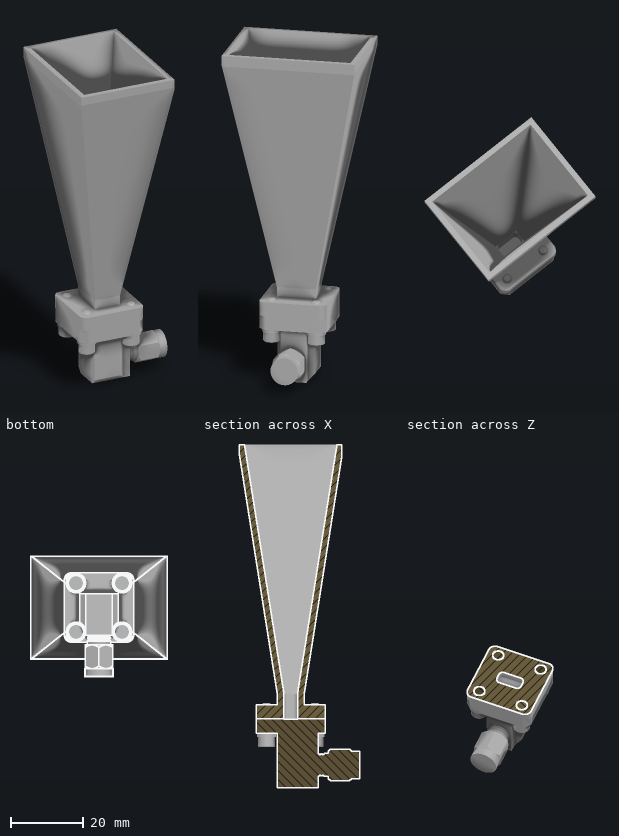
import cadquery as cq
import math


total_height = 95.15
flange_bottom = 15.1
flange_thickness = 4.0
joint_height = flange_bottom + flange_thickness
flange_top = joint_height + flange_thickness
flare_start = 26.1

guide_x = 7.1
guide_y = 3.6
guide_corner_radius = 1.1
horn_wall = 2.0
mouth_x = 37.9
mouth_y = 28.5
lip_wall = 1.5
aperture_x = mouth_x - 2 * lip_wall
aperture_y = mouth_y - 2 * lip_wall
neck_x = guide_x + 2 * horn_wall
neck_y = guide_y + 2 * horn_wall

flange_side = 19.2
horn_flange_radius = 2.0
adapter_flange_chamfer = 1.8

block_width = 10.6
block_front = -3.8
block_shoulder = 4.1
block_taper_end = 5.6
block_back = 7.7
block_back_width = 7.4
block_bottom_chamfer = 1.6

connector_height = 6.4
connector_end = 19.1
hex_start = 10.4
hex_end = 16.9
hex_across_flats = 7.7
hex_corner_chamfer = 0.7
sleeve_diameter = 7.8
collar_diameter = 6.6
collar_start = 9.3
thread_diameter = 6.4
thread_root_diameter = 5.8
thread_turns = 2

screw_offset_x = 6.4
screw_offset_y = 6.8
screw_diameter = 2.9
screw_tip = 23.6
screw_tip_chamfer = 0.6
head_diameter = 4.7
head_height = 2.9
head_edge_chamfer = 0.2
washer_diameter = 5.3
washer_thickness = 0.95
washer_bottom = flange_bottom - washer_thickness
head_bottom = washer_bottom - head_height

screw_positions = [
    (side_x * screw_offset_x, side_y * screw_offset_y)
    for side_x in (-1, 1)
    for side_y in (-1, 1)
]


def frustum(bottom_x, bottom_y, top_x, top_y):
    """Rectangular frustum from the start of the flare up to the mouth."""
    return (
        cq.Workplane("XY", origin=(0, 0, flare_start))
        .rect(bottom_x, bottom_y)
        .workplane(offset=total_height - flare_start)
        .rect(top_x, top_y)
        .loft(ruled=True)
    )


def box_between(size_x, size_y, bottom, top):
    """Box centred on the guide axis between two heights."""
    return (
        cq.Workplane("XY", origin=(0, 0, bottom))
        .rect(size_x, size_y)
        .extrude(top - bottom)
    )


def cylinder_between(diameter, bottom, top):
    """Cylinder on the guide axis between two heights."""
    return (
        cq.Workplane("XY", origin=(0, 0, bottom))
        .circle(diameter / 2)
        .extrude(top - bottom)
    )


def cut_screw_holes(flange):
    """Cut the four screw holes through a flange."""
    holes = (
        cq.Workplane("XY", origin=(0, 0, flange_bottom))
        .pushPoints(screw_positions)
        .circle(screw_diameter / 2)
        .extrude(flange_top - flange_bottom)
    )
    return flange.cut(holes)


def make_horn():
    """Flared horn with its neck and flange; the mouth is trimmed to a straight lip."""
    flare = frustum(neck_x, neck_y, aperture_x + 2 * horn_wall, aperture_y + 2 * horn_wall)
    flare = flare.intersect(box_between(mouth_x, mouth_y, flare_start, total_height))
    neck = box_between(neck_x, neck_y, flange_top, flare_start)
    flange = box_between(flange_side, flange_side, joint_height, flange_top)
    flange = cut_screw_holes(flange.edges("|Z").fillet(horn_flange_radius))
    flare_bore = frustum(guide_x, guide_y, aperture_x, aperture_y)
    guide_bore = box_between(guide_x, guide_y, joint_height, flare_start)
    guide_bore = guide_bore.edges("|Z").fillet(guide_corner_radius)
    return flange.union(neck).union(flare).cut(guide_bore).cut(flare_bore)


def make_adapter_block():
    """Block that narrows toward the connector, with both lower side edges chamfered."""
    half_width = block_width / 2
    half_back = block_back_width / 2
    block = (
        cq.Workplane("XY")
        .moveTo(-half_width, block_front)
        .lineTo(half_width, block_front)
        .lineTo(half_width, block_shoulder)
        .lineTo(half_back, block_taper_end)
        .lineTo(half_back, block_back)
        .lineTo(-half_back, block_back)
        .lineTo(-half_back, block_taper_end)
        .lineTo(-half_width, block_shoulder)
        .close()
        .extrude(flange_bottom)
    )
    half_foot = half_width - block_bottom_chamfer
    front_outline = (
        cq.Workplane("XZ", origin=(0, block_back, 0))
        .moveTo(-half_foot, 0)
        .lineTo(half_foot, 0)
        .lineTo(half_width, block_bottom_chamfer)
        .lineTo(half_width, flange_bottom)
        .lineTo(-half_width, flange_bottom)
        .lineTo(-half_width, block_bottom_chamfer)
        .close()
        .extrude(block_back - block_front)
    )
    return block.intersect(front_outline)


def revolve_about_connector(profile):
    """Revolve (radius, Y) points about the connector axis."""
    return (
        cq.Workplane("XY", origin=(0, 0, connector_height))
        .polyline(profile)
        .close()
        .revolve(360, (0, 0, 0), (0, 1, 0))
    )


def make_thread_and_collar():
    """Ridged thread next to the block, followed by the plain collar."""
    crest = thread_diameter / 2
    root = thread_root_diameter / 2
    collar = collar_diameter / 2
    pitch = (collar_start - block_back) / thread_turns
    profile = [(0, block_back), (crest, block_back)]
    for turn in range(thread_turns):
        turn_start = block_back + turn * pitch
        profile.append((root, turn_start + pitch / 2))
        profile.append((crest, turn_start + pitch))
    profile += [(collar, collar_start), (collar, hex_start), (0, hex_start)]
    return revolve_about_connector(profile)


def make_hex_nut():
    """Hexagon with corners up and down, its corners chamfered at both ends."""
    across_corners = hex_across_flats / math.cos(math.pi / 6)
    hexagon = (
        cq.Workplane("XZ", origin=(0, hex_end, connector_height))
        .transformed(rotate=(0, 0, 90))
        .polygon(6, across_corners)
        .extrude(hex_end - hex_start)
    )
    flat = hex_across_flats / 2
    corner = across_corners / 2
    chamfer_limit = revolve_about_connector([
        (0, hex_start),
        (flat, hex_start),
        (corner, hex_start + hex_corner_chamfer),
        (corner, hex_end - hex_corner_chamfer),
        (flat, hex_end),
        (0, hex_end),
    ])
    return hexagon.intersect(chamfer_limit)


def make_connector_sleeve():
    """Round sleeve at the free end of the connector."""
    return (
        cq.Workplane("XZ", origin=(0, connector_end, connector_height))
        .circle(sleeve_diameter / 2)
        .extrude(connector_end - hex_end)
    )


def make_adapter():
    """Flange, block and coaxial connector as one solid."""
    flange = box_between(flange_side, flange_side, flange_bottom, joint_height)
    flange = cut_screw_holes(flange.edges("|Z").chamfer(adapter_flange_chamfer))
    return (
        flange.union(make_adapter_block())
        .union(make_thread_and_collar())
        .union(make_hex_nut())
        .union(make_connector_sleeve())
    )


def make_screw(position):
    """Screw with its head below the flanges and its chamfered tip above them."""
    shank = cylinder_between(screw_diameter, washer_bottom, screw_tip)
    shank = shank.faces(">Z").chamfer(screw_tip_chamfer)
    head = cylinder_between(head_diameter, head_bottom, washer_bottom)
    head = head.faces("<Z").chamfer(head_edge_chamfer)
    return head.union(shank).translate((*position, 0))


def make_washer(position):
    """Flat washer between a screw head and the adapter flange."""
    disc = cylinder_between(washer_diameter, washer_bottom, flange_bottom)
    hole = cylinder_between(screw_diameter, washer_bottom, flange_bottom)
    return disc.cut(hole).translate((*position, 0))


horn = make_horn().solids().val()
adapter = make_adapter().solids().val()
screws = []
washers = []
for screw_position in screw_positions:
    screws.append(make_screw(screw_position).solids().val())
    washers.append(make_washer(screw_position).solids().val())

result = cq.Compound.makeCompound([horn, adapter, *screws, *washers])